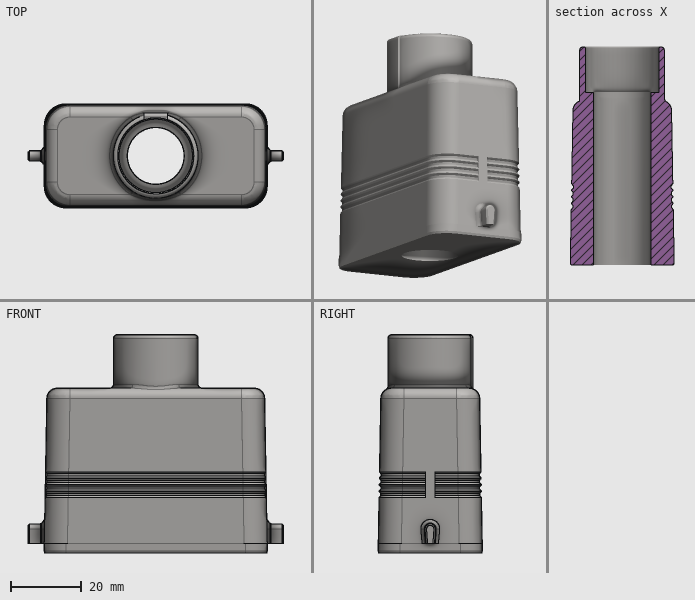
import cadquery as cq
import math

BODY_LENGTH = 62.9
BODY_WIDTH = 29.4
BODY_TOP = 46.6
DRAFT_ANGLE = 1.0
BODY_CORNER_RADIUS = 6.55
TOP_EDGE_RADIUS = 3.0
DRAFT_SLOPE = math.tan(math.radians(DRAFT_ANGLE))

RIM_HEIGHT = 2.7
RIM_CORNER_RADIUS = 6.2
RIM_CHAMFER_HEIGHT = 0.65
RIM_CHAMFER_INSET = 0.18

OVERALL_HEIGHT = 61.7
COLLAR_RADIUS = 11.95
COLLAR_ROOT = BODY_TOP - TOP_EDGE_RADIUS
COLLAR_TOP_RADIUS = 1.15
COLLAR_FOOT_RADIUS = 1.1
BORE_RADIUS = 10.4
BORE_CHAMFER = 0.35
BORE_CHAMFER_ANGLE = 45
BORE_FLOOR = 48.8
ENTRY_DIAMETER = 16.0

PAD_WIDTH = 6.55
PAD_FACE_Y = 12.1

GROOVE_COUNT = 4
GRIP_BOTTOM = 15.7
GRIP_HEIGHT = 7.3
GROOVE_DEPTH = 0.47
GROOVE_MOUTH = 1.7
GROOVE_FLOOR = 0.65
GROOVE_PITCH = (GRIP_HEIGHT - GROOVE_MOUTH) / (GROOVE_COUNT - 1)
GRIP_WEB_WIDTH = 2.8

OVERALL_LENGTH = 72
LUG_TOP = 8.3
LUG_WIDTH = 2.95
LUG_FOOT_WIDTH = 2.4
LUG_CHAMFER = 0.4
LUG_BASE_MARGIN = 1.2
LUG_BASE_TIP_MARGIN = 0.2
LUG_BASE_TIP_X = 32.2
LUG_NECK_X = 32.55

OVERLAP = 1.45
TOLERANCE = 0.1


def inset_at(z):
    """Inward offset of the drafted walls at height z."""
    return (z - RIM_HEIGHT) * DRAFT_SLOPE


def make_rim():
    rim = cq.Workplane("XY").rect(BODY_LENGTH, BODY_WIDTH).extrude(RIM_HEIGHT)
    rim = rim.edges("|Z").fillet(RIM_CORNER_RADIUS)
    return rim.faces("<Z").chamfer(RIM_CHAMFER_HEIGHT, RIM_CHAMFER_INSET)


def make_body():
    body = (
        cq.Workplane("XY", origin=(0, 0, RIM_HEIGHT))
        .rect(BODY_LENGTH, BODY_WIDTH)
        .extrude(BODY_TOP - RIM_HEIGHT, taper=DRAFT_ANGLE)
    )
    body = body.edges("not(|X or |Y)").fillet(BODY_CORNER_RADIUS)
    return body.faces(">Z").edges().fillet(TOP_EDGE_RADIUS)


def wall_section(z, depth):
    """Rounded outline lying the given depth inside the drafted wall at height z."""
    inset = inset_at(z) + depth
    outline = cq.Sketch().rect(BODY_LENGTH - 2 * inset, BODY_WIDTH - 2 * inset)
    return outline.vertices().fillet(BODY_CORNER_RADIUS - depth).moved(cq.Location((0, 0, z)))


def loft_between(z_low, depth_low, z_high, depth_high):
    """Solid between two wall sections at different heights and depths."""
    low = wall_section(z_low, depth_low)
    high = wall_section(z_high, depth_high)
    return cq.Workplane("XY").placeSketch(low, high).loft()


def make_groove_ring(z_middle):
    """Ring that cuts one groove with sloping flanks and a flat floor."""
    mouth_low = z_middle - GROOVE_MOUTH / 2
    mouth_high = z_middle + GROOVE_MOUTH / 2
    floor_low = z_middle - GROOVE_FLOOR / 2
    floor_high = z_middle + GROOVE_FLOOR / 2
    core = loft_between(mouth_low, 0, floor_low, GROOVE_DEPTH)
    core = core.union(loft_between(floor_low, GROOVE_DEPTH, floor_high, GROOVE_DEPTH))
    core = core.union(loft_between(floor_high, GROOVE_DEPTH, mouth_high, 0))
    blank = (
        cq.Workplane("XY", origin=(0, 0, mouth_low))
        .rect(OVERALL_LENGTH, OVERALL_LENGTH)
        .extrude(GROOVE_MOUTH)
    )
    return blank.cut(core)


def make_grip_cutter():
    """All groove rings, left out where the end webs run through."""
    web = cq.Workplane("XY").box(OVERALL_LENGTH, GRIP_WEB_WIDTH, 2 * BODY_TOP)
    cutter = cq.Workplane("XY")
    for index in range(GROOVE_COUNT):
        middle_z = GRIP_BOTTOM + GROOVE_MOUTH / 2 + index * GROOVE_PITCH
        ring = make_groove_ring(middle_z)
        cutter = cutter.add(ring.cut(web))
    return cutter.combine()


def lug_outline(x, margin):
    """Round-topped, slightly tapering outline at distance x, grown by margin."""
    radius = LUG_WIDTH / 2 + margin
    foot = LUG_FOOT_WIDTH / 2 + margin
    centre_z = LUG_TOP - LUG_WIDTH / 2
    return (
        cq.Workplane("YZ", origin=(x, 0, 0))
        .moveTo(-foot, RIM_HEIGHT)
        .lineTo(-radius, centre_z)
        .threePointArc((0, centre_z + radius), (radius, centre_z))
        .lineTo(foot, RIM_HEIGHT)
        .close()
    )


def lug_loft(inner_x, inner_margin, outer_x, outer_margin):
    """Straight-sided solid between two lug outlines."""
    inner = lug_outline(inner_x, inner_margin).wires().val()
    outer = lug_outline(outer_x, outer_margin).wires().val()
    return cq.Workplane("XY").add(cq.Solid.makeLoft([inner, outer], True))


def make_lug():
    """Lug on the +X end with its flared base."""
    root_x = BODY_LENGTH / 2 - OVERLAP
    bar = lug_outline(root_x, 0).extrude(OVERALL_LENGTH / 2 - root_x)
    bar = bar.faces(">X").edges("not <Z").chamfer(LUG_CHAMFER)

    wall_x = BODY_LENGTH / 2 - inset_at(LUG_TOP)
    flare = (LUG_BASE_MARGIN - LUG_BASE_TIP_MARGIN) / (LUG_BASE_TIP_X - wall_x)
    root_margin = LUG_BASE_MARGIN + flare * (wall_x - root_x)
    base = lug_loft(root_x, root_margin, LUG_BASE_TIP_X, LUG_BASE_TIP_MARGIN)
    neck = lug_loft(LUG_BASE_TIP_X, LUG_BASE_TIP_MARGIN, LUG_NECK_X, 0)
    return bar.union(base).union(neck)


def make_collar():
    collar = (
        cq.Workplane("XY", origin=(0, 0, COLLAR_ROOT))
        .circle(COLLAR_RADIUS)
        .extrude(OVERALL_HEIGHT - COLLAR_ROOT)
    )
    return collar.faces(">Z").edges().fillet(COLLAR_TOP_RADIUS)


def make_pad():
    pad = (
        cq.Workplane("XY", origin=(0, PAD_FACE_Y / 2, COLLAR_ROOT))
        .rect(PAD_WIDTH, PAD_FACE_Y)
        .extrude(OVERALL_HEIGHT - COLLAR_ROOT)
    )
    return pad.edges(">Y and >Z").fillet(COLLAR_TOP_RADIUS)


def is_collar_foot(edge):
    """True for an edge where the round collar meets the body."""
    box = edge.BoundingBox()
    in_top_band = COLLAR_ROOT < box.zmin and box.zmax < BODY_TOP + TOLERANCE
    on_collar = all(
        math.hypot(vertex.X, vertex.Y) < COLLAR_RADIUS + TOLERANCE for vertex in edge.Vertices()
    )
    return in_top_band and on_collar


def add_collar(body):
    """Body with the collar, its foot fillet trimmed level with the pad, and the pad."""
    joined = body.union(make_collar())
    foot_edges = [edge for edge in joined.edges().vals() if is_collar_foot(edge)]
    joined = joined.newObject(foot_edges).fillet(COLLAR_FOOT_RADIUS)
    trim = (
        cq.Workplane("XY", origin=(0, PAD_FACE_Y + OVERLAP, COLLAR_ROOT))
        .rect(OVERALL_LENGTH, 2 * OVERLAP)
        .extrude(OVERALL_HEIGHT - COLLAR_ROOT)
        .cut(body)
    )
    return joined.cut(trim).union(make_pad())


def make_cable_passage():
    """Wide bore with a chamfered mouth above a narrower through hole."""
    bore = (
        cq.Workplane("XY", origin=(0, 0, BORE_FLOOR))
        .circle(BORE_RADIUS)
        .extrude(OVERALL_HEIGHT - BORE_FLOOR)
    )
    mouth = (
        cq.Workplane("XY", origin=(0, 0, OVERALL_HEIGHT))
        .circle(BORE_RADIUS + BORE_CHAMFER)
        .extrude(-BORE_CHAMFER, taper=BORE_CHAMFER_ANGLE)
    )
    entry = cq.Workplane("XY").circle(ENTRY_DIAMETER / 2).extrude(OVERALL_HEIGHT)
    return bore.union(mouth).union(entry)


lug = make_lug()
grooved_body = make_body().cut(make_grip_cutter())
hood = add_collar(grooved_body).union(make_rim())
hood = hood.union(lug).union(lug.mirror("YZ"))
result = hood.cut(make_cable_passage())